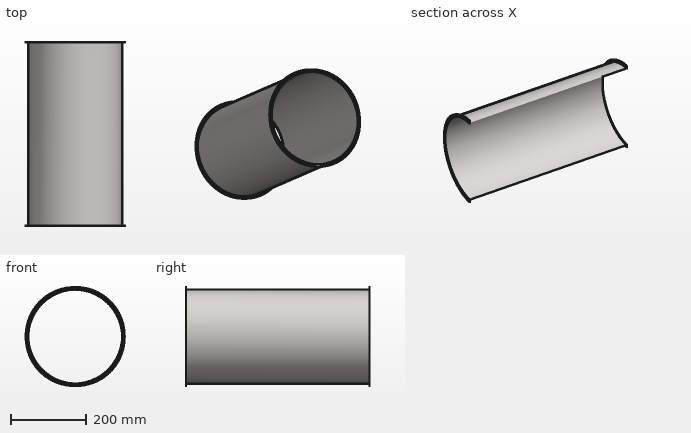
import cadquery as cq

length = 488.0
bore_diameter = 249.0
tube_diameter = 251.0
flange_diameter = 263.0
flange_thickness = (tube_diameter - bore_diameter) / 2


def cylinder_along_y(diameter, start_y, depth):
    """Solid cylinder from start_y towards +Y."""
    base = cq.Workplane("XZ", origin=(0, start_y, 0))
    return base.circle(diameter / 2).extrude(-depth)


front_end = -length / 2
back_end = length / 2

body = cylinder_along_y(tube_diameter, front_end, length)

for flange_start in (front_end, back_end - flange_thickness):
    body = body.union(cylinder_along_y(flange_diameter, flange_start, flange_thickness))

result = body.cut(cylinder_along_y(bore_diameter, front_end, length))